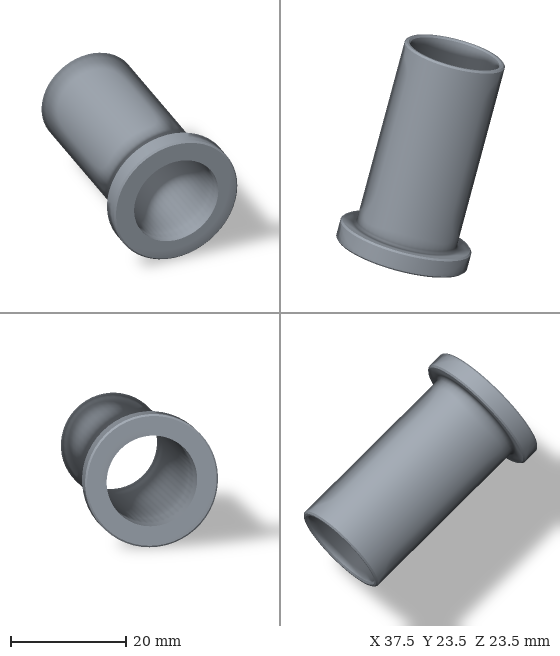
import cadquery as cq

length = 37.5
flange_diameter = 23.5
tube_diameter = 18.0
bore_diameter = 16.0
flange_thickness = 3.5

edge_chamfer = 0.3
neck_fillet = 0.5

tube_radius = tube_diameter / 2
flange_radius = flange_diameter / 2
bore_radius = bore_diameter / 2
flange_face = length - flange_thickness


def disc(start, end, radius):
    """Solid cylinder along X between two X positions."""
    return cq.Workplane("YZ", origin=(start, 0, 0)).circle(radius).extrude(end - start)


tube = disc(0, length, tube_radius).faces("<X").edges().chamfer(edge_chamfer)

flange = disc(flange_face, length, flange_radius).edges("%CIRCLE").chamfer(edge_chamfer)

neck_corner = cq.selectors.BoxSelector(
    (flange_face - neck_fillet, -flange_radius, -flange_radius),
    (flange_face + neck_fillet, flange_radius, flange_radius),
)
smallest_circle = cq.selectors.RadiusNthSelector(0)
body = tube.union(flange)
body = body.edges(neck_corner).edges("%CIRCLE").edges(smallest_circle).fillet(neck_fillet)

body = body.cut(disc(0, length, bore_radius))
result = body.faces("<X").edges(smallest_circle).chamfer(edge_chamfer)